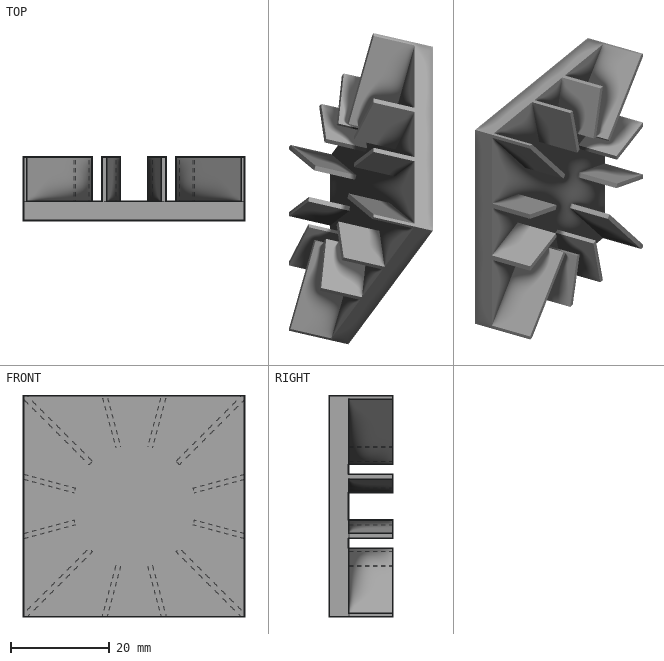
import cadquery as cq

side = 45.0
plate_thickness = 4.0
fin_height = 9.0

fin_count = 12
fin_thickness = 1.0
fin_inner_radius = 12.5
fin_outer_radius = side
fin_pitch = 360 / fin_count
first_fin_angle = fin_pitch / 2


def make_fin(angle):
    """Straight fin standing on the back of the plate, pointing away from the Y axis."""
    length = fin_outer_radius - fin_inner_radius
    fin = cq.Workplane("XY").box(length, fin_height, fin_thickness, centered=(False, False, True))
    fin = fin.translate((fin_inner_radius, plate_thickness, 0))
    return fin.rotate((0, 0, 0), (0, 1, 0), angle)


plate = cq.Workplane("XY").box(side, plate_thickness, side, centered=(True, False, True))

envelope = cq.Workplane("XY").box(
    side, plate_thickness + fin_height, side, centered=(True, False, True)
)

result = plate
for index in range(fin_count):
    fin = make_fin(first_fin_angle + index * fin_pitch)
    result = result.union(fin.intersect(envelope))